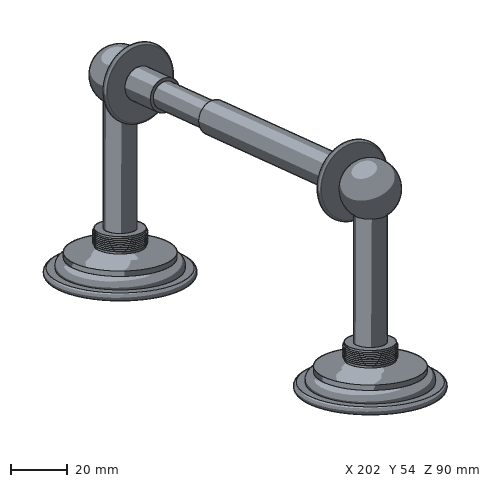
import cadquery as cq
import math

post_spacing = 148.0
axis_height = 75.0

rim_radius = 27.0
rim_edge_radius = 26.0
rim_height = 3.0
bead_radius = 3.2
bead_center_radius = 19.75
bead_center_height = 3.8
step_radius = 20.0
step_height = 9.0
flare_mid_radius = 14.0
flare_mid_height = 9.95

collar_radius = 9.2
collar_bottom = 11.5
collar_height = 6.5
collar_land = 0.8
ring_count = 7
ring_depth = 0.5

column_radius = 6.0
ball_radius = 11.0
disc_radius = 15.0
disc_thickness = 2.0
disc_offset = 9.7
disc_fillet = 0.75

roller_radius = 6.5
neck_radius = 5.25
stub_length = 15.0
tube_length = 81.0

disc_face_x = post_spacing / 2 - disc_offset - disc_thickness
tube_start_x = disc_face_x - tube_length


def rod_along_x(start_x, radius, length):
    """Round rod on the roller axis, running from start_x toward +X."""
    return cq.Workplane("YZ", origin=(start_x, 0, axis_height)).circle(radius).extrude(length)


def turn_about_z(outline):
    """Close an XZ half outline and revolve it about the Z axis."""
    return outline.close().revolve(360, (0, 0), (0, 1))


def make_foot():
    """Round foot: bulged rim, rounded bead, step and a concave flare up to the collar."""
    rim_to_center = rim_height - bead_center_height
    step_to_center = step_radius - bead_center_radius
    bead_base_radius = bead_center_radius + math.sqrt(bead_radius**2 - rim_to_center**2)
    bead_top = bead_center_height + math.sqrt(bead_radius**2 - step_to_center**2)
    diagonal = bead_radius * math.sqrt(0.5)
    bead_mid = (bead_center_radius + diagonal, bead_center_height + diagonal)
    outline = (
        cq.Workplane("XZ")
        .lineTo(rim_edge_radius, 0)
        .threePointArc((rim_radius, rim_height / 2), (rim_edge_radius, rim_height))
        .lineTo(bead_base_radius, rim_height)
        .threePointArc(bead_mid, (step_radius, bead_top))
        .lineTo(step_radius, step_height)
        .threePointArc((flare_mid_radius, flare_mid_height), (collar_radius, collar_bottom))
        .lineTo(0, collar_bottom)
    )
    return turn_about_z(outline)


def make_collar():
    """Collar with a stack of equal V-edged rings between two plain lands."""
    pitch = (collar_height - 2 * collar_land) / ring_count
    rings_bottom = collar_bottom + collar_land
    collar_top = collar_bottom + collar_height
    outline = (
        cq.Workplane("XZ")
        .moveTo(0, collar_bottom)
        .lineTo(collar_radius, collar_bottom)
        .lineTo(collar_radius, rings_bottom)
    )
    for ring in range(ring_count):
        ring_bottom = rings_bottom + ring * pitch
        outline = outline.lineTo(collar_radius + ring_depth, ring_bottom + pitch / 2)
        outline = outline.lineTo(collar_radius, ring_bottom + pitch)
    outline = outline.lineTo(collar_radius, collar_top).lineTo(0, collar_top)
    return turn_about_z(outline)


def make_column():
    """Plain round column from the collar up into the ball."""
    column_height = axis_height - collar_bottom
    return cq.Workplane("XY", origin=(0, 0, collar_bottom)).circle(column_radius).extrude(column_height)


def make_disc():
    """End disc with rounded edges on the +X side of the ball."""
    return rod_along_x(disc_offset, disc_radius, disc_thickness).edges().fillet(disc_fillet)


def make_post(side):
    """Post with its disc facing the middle; side is -1 for the -X end and +1 for the +X end."""
    ball = cq.Workplane("XY", origin=(0, 0, axis_height)).sphere(ball_radius)
    post = make_foot().union(make_collar()).union(make_column()).union(ball).union(make_disc())
    if side > 0:
        post = post.rotate((0, 0, 0), (0, 0, 1), 180)
    return post.translate((side * post_spacing / 2, 0, 0))


def make_plunger():
    """Roller half at the -X end: a full-size stub with a thinner neck reaching the tube."""
    stub = rod_along_x(-disc_face_x, roller_radius, stub_length)
    neck = rod_along_x(-disc_face_x, neck_radius, tube_start_x + disc_face_x)
    return stub.union(neck)


def make_tube():
    """Roller half at the +X end, from the neck to the disc of the +X post."""
    return rod_along_x(tube_start_x, roller_radius, tube_length)


posts = [make_post(side).val() for side in (-1, 1)]
plunger = make_plunger()
tube = make_tube()
result = cq.Compound.makeCompound([*posts, plunger.val(), tube.val()])